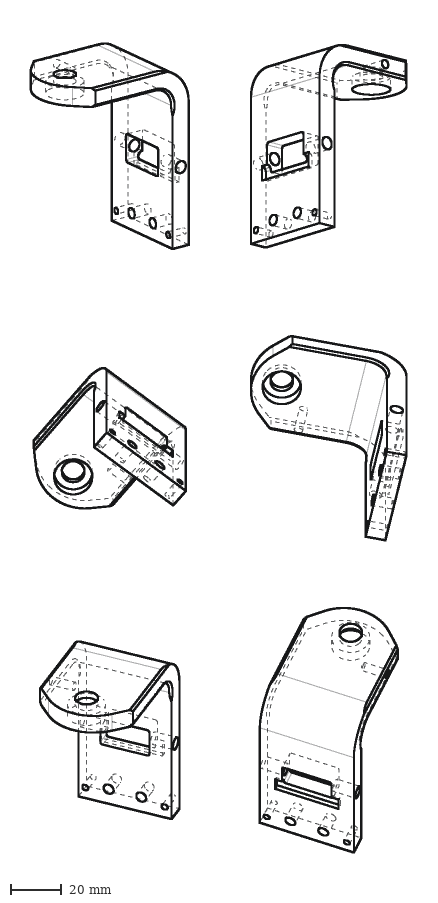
import cadquery as cq
import math

width = 40.0
reach = 58.0
height = 76.0
thickness = 8.0
half_width = width / 2
front_y = -reach
mid_plate_y = -thickness / 2
mid_arm_z = height - thickness / 2

inner_radius = 8.0
outer_radius = inner_radius + thickness
bend_y = -outer_radius
bend_z = height - outer_radius

pivot_to_tip = 12.0
pivot_y = front_y + pivot_to_tip
nose_radius = (half_width - pivot_to_tip) / (math.sqrt(2) - 1)
nose_center_y = front_y + nose_radius
nose_tangent = nose_radius * math.sin(math.radians(45))

pivot_diameter = 9.0
pivot_lip = 3.0
counterbore_diameter = 15.05

top_chamfer = 1.0
inner_chamfer = 1.0

window_width = 21.0
window_height = 12.0
window_corner_radius = 1.0
window_z = 33.5
recess_margin = 3.0
recess_depth = 2.0
cross_hole_diameter = 5.0

mount_diameter = 4.25
mount_x = 7.0
mount_z = 7.0
pin_diameter = 2.5
pin_x = 17.0
pin_z = 5.0

side_hole_diameter = 3.35
side_hole_depth = 10.0
side_hole_y = -35.0
drill_point_angle = 118.0


def bent_plate():
    """L-shaped profile extruded across the full width."""
    diagonal = math.sqrt(0.5)
    return (
        cq.Workplane("YZ")
        .moveTo(0, 0)
        .lineTo(0, bend_z)
        .threePointArc(
            (bend_y + outer_radius * diagonal, bend_z + outer_radius * diagonal),
            (bend_y, height),
        )
        .lineTo(front_y, height)
        .lineTo(front_y, height - thickness)
        .lineTo(bend_y, height - thickness)
        .threePointArc(
            (bend_y + inner_radius * diagonal, bend_z + inner_radius * diagonal),
            (-thickness, bend_z),
        )
        .lineTo(-thickness, 0)
        .close()
        .extrude(half_width, both=True)
    )


def plan_outline():
    """Prism with the tip outline, used to trim the arm."""
    shoulder_y = nose_center_y - nose_tangent
    return (
        cq.Workplane("XY")
        .moveTo(-half_width, 0)
        .lineTo(-half_width, pivot_y)
        .lineTo(-nose_tangent, shoulder_y)
        .threePointArc((0, front_y), (nose_tangent, shoulder_y))
        .lineTo(half_width, pivot_y)
        .lineTo(half_width, 0)
        .close()
        .extrude(height)
    )


def edge_wedge(side, edge_z, size, inward_z, length_start):
    """Triangular bar along an arm edge; inward_z points from the edge into the arm."""
    edge_x = side * half_width
    return (
        cq.Workplane("XZ", origin=(0, length_start, 0))
        .moveTo(edge_x, edge_z)
        .lineTo(edge_x - side * size, edge_z)
        .lineTo(edge_x, edge_z + inward_z * size)
        .close()
        .extrude(length_start - front_y)
    )


def bend_cone(side):
    """45 degree cone that chamfers the inside of the bend and runs out on the upright."""
    outward = cq.Vector(side, 0, 0)
    base = cq.Vector(side * (half_width - inner_chamfer), bend_y, bend_z)
    return cq.Solid.makeCone(
        inner_radius, inner_radius + inner_chamfer, inner_chamfer, base, outward
    )


def holes_through_upright(diameter, x, z):
    return (
        cq.Workplane("XZ")
        .pushPoints([(-x, z), (x, z)])
        .circle(diameter / 2)
        .extrude(thickness)
    )


def window():
    return (
        cq.Workplane("XZ", origin=(0, 0, window_z))
        .rect(window_width, window_height)
        .extrude(thickness)
        .edges("|Y")
        .fillet(window_corner_radius)
    )


def window_recess():
    """Relief in the back face along the window's lower edge, its ceiling a quarter round."""
    floor_z = window_z - window_height / 2
    round_z = floor_z + window_corner_radius
    diagonal = recess_depth * math.sqrt(0.5)
    return (
        cq.Workplane("YZ")
        .moveTo(0, floor_z - recess_margin)
        .lineTo(-recess_depth, floor_z - recess_margin)
        .lineTo(-recess_depth, round_z)
        .threePointArc((-diagonal, round_z + diagonal), (0, round_z + recess_depth))
        .close()
        .extrude(window_width / 2 + recess_margin, both=True)
    )


def cross_hole():
    return (
        cq.Workplane("YZ", origin=(0, mid_plate_y, window_z))
        .circle(cross_hole_diameter / 2)
        .extrude(half_width, both=True)
    )


def pivot_hole():
    through = (
        cq.Workplane("XY", origin=(0, pivot_y, height))
        .circle(pivot_diameter / 2)
        .extrude(-thickness)
    )
    counterbore = (
        cq.Workplane("XY", origin=(0, pivot_y, height - thickness))
        .circle(counterbore_diameter / 2)
        .extrude(thickness - pivot_lip)
    )
    return through.union(counterbore)


def side_hole():
    """Blind hole with a conical drill point, revolved about its axis along X."""
    radius = side_hole_diameter / 2
    point_length = radius / math.tan(math.radians(drill_point_angle / 2))
    return (
        cq.Workplane("XY", origin=(-half_width, side_hole_y, mid_arm_z))
        .lineTo(0, radius)
        .lineTo(side_hole_depth, radius)
        .lineTo(side_hole_depth + point_length, 0)
        .close()
        .revolve(360, (0, 0, 0), (1, 0, 0))
    )


result = bent_plate().intersect(plan_outline())

for side in (-1, 1):
    result = result.cut(edge_wedge(side, height, top_chamfer, -1, 0))
    result = result.cut(edge_wedge(side, height - thickness, inner_chamfer, 1, bend_y))
    result = result.cut(bend_cone(side))

result = result.cut(window())
result = result.cut(window_recess())
result = result.cut(cross_hole())
result = result.cut(holes_through_upright(mount_diameter, mount_x, mount_z))
result = result.cut(holes_through_upright(pin_diameter, pin_x, pin_z))
result = result.cut(pivot_hole())
result = result.cut(side_hole())